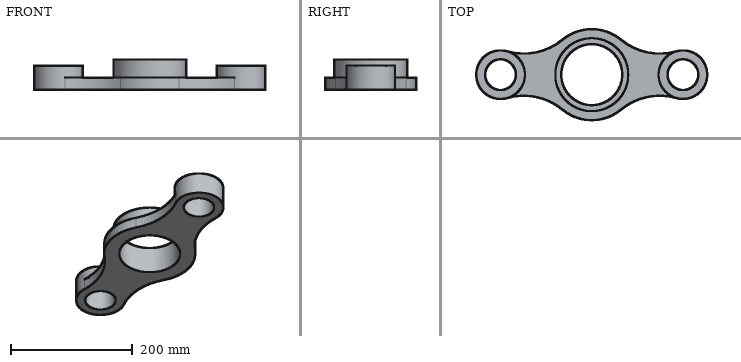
import cadquery as cq
import math

length = 380.0
plate_thickness = 20.0
hub_flange_diameter = 150.0
hub_diameter = 120.0
hub_bore = 100.0
hub_height = 50.0
end_boss_diameter = 80.0
end_boss_bore = 50.0
end_boss_height = 40.0
waist_radius = 100.0

boss_offset = (length - end_boss_diameter) / 2
flange_radius = hub_flange_diameter / 2
boss_radius = end_boss_diameter / 2

flange_to_waist = flange_radius + waist_radius
boss_to_waist = boss_radius + waist_radius
waist_x = (flange_to_waist**2 - boss_to_waist**2 + boss_offset**2) / (2 * boss_offset)
waist_y = math.sqrt(flange_to_waist**2 - waist_x**2)

flange_x = waist_x * flange_radius / flange_to_waist
flange_y = waist_y * flange_radius / flange_to_waist
boss_x = boss_offset + (waist_x - boss_offset) * boss_radius / boss_to_waist
boss_y = waist_y * boss_radius / boss_to_waist
waist_low_y = waist_y - waist_radius


def make_plate():
    """Flat plate with a round middle, four concave waists and ends inside the bosses."""
    return (
        cq.Workplane("XY")
        .moveTo(-flange_x, flange_y)
        .threePointArc((0, flange_radius), (flange_x, flange_y))
        .threePointArc((waist_x, waist_low_y), (boss_x, boss_y))
        .lineTo(boss_x, -boss_y)
        .threePointArc((waist_x, -waist_low_y), (flange_x, -flange_y))
        .threePointArc((0, -flange_radius), (-flange_x, -flange_y))
        .threePointArc((-waist_x, -waist_low_y), (-boss_x, -boss_y))
        .lineTo(-boss_x, boss_y)
        .threePointArc((-waist_x, waist_low_y), (-flange_x, flange_y))
        .close()
        .extrude(plate_thickness)
    )


def make_cylinder(center_x, diameter, height):
    """Upright cylinder standing on the base plane."""
    return cq.Workplane("XY").center(center_x, 0).circle(diameter / 2).extrude(height)


result = make_plate().union(make_cylinder(0, hub_diameter, hub_height))
result = result.cut(make_cylinder(0, hub_bore, hub_height))

for boss_center_x in (-boss_offset, boss_offset):
    result = result.union(make_cylinder(boss_center_x, end_boss_diameter, end_boss_height))
    result = result.cut(make_cylinder(boss_center_x, end_boss_bore, end_boss_height))